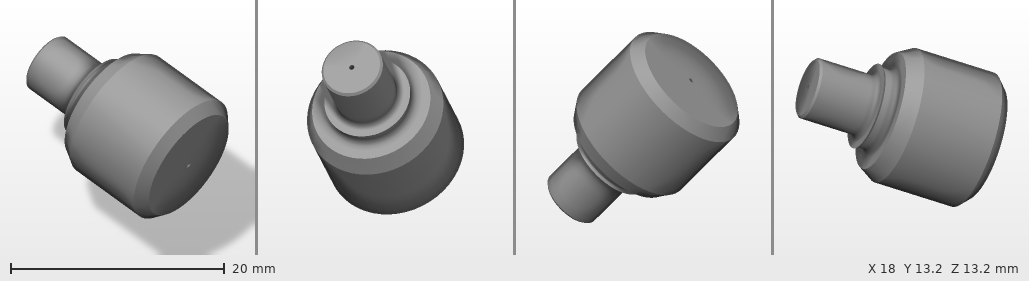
import cadquery as cq
import math

total_length = 18.0
shoulder_x = 6.0
body_x = 7.5

stub_radius = 2.95
collar_radius = 3.9
body_diameter = 13.15
body_radius = body_diameter / 2
bore_radius = 0.25

tip_chamfer = 0.22
fillet_radius = 0.5
lip_size = 0.23
front_taper_length = 1.51
front_taper_angle = 30.0
rear_chamfer = 1.0

front_taper_depth = front_taper_length * math.tan(math.radians(front_taper_angle))
x_start = -total_length / 2


def fillet_up_to(profile, face_x, radius):
    """Follow a cylinder, then curve outward through a concave fillet to a face."""
    arc_start_x = face_x - fillet_radius
    mid_offset = fillet_radius * math.sqrt(0.5)
    arc_center_radius = radius + fillet_radius
    return profile.lineTo(arc_start_x, radius).threePointArc(
        (arc_start_x + mid_offset, arc_center_radius - mid_offset),
        (face_x, arc_center_radius),
    )


def turned_body():
    """Revolve the half profile, drawn as (axial position, radius), about X."""
    profile = (
        cq.Workplane("XY")
        .moveTo(0, bore_radius)
        .lineTo(0, stub_radius - tip_chamfer)
        .lineTo(tip_chamfer, stub_radius)
    )
    profile = fillet_up_to(profile, shoulder_x, stub_radius)
    profile = profile.lineTo(shoulder_x, collar_radius + lip_size)
    profile = profile.lineTo(shoulder_x + lip_size, collar_radius)
    profile = fillet_up_to(profile, body_x, collar_radius)
    profile = (
        profile.lineTo(body_x, body_radius - front_taper_depth)
        .lineTo(body_x + front_taper_length, body_radius)
        .lineTo(total_length - rear_chamfer, body_radius)
        .lineTo(total_length, body_radius - rear_chamfer)
        .lineTo(total_length, bore_radius)
        .close()
    )
    return profile.revolve(360, (0, 0, 0), (1, 0, 0))


result = turned_body().translate((x_start, 0, 0))